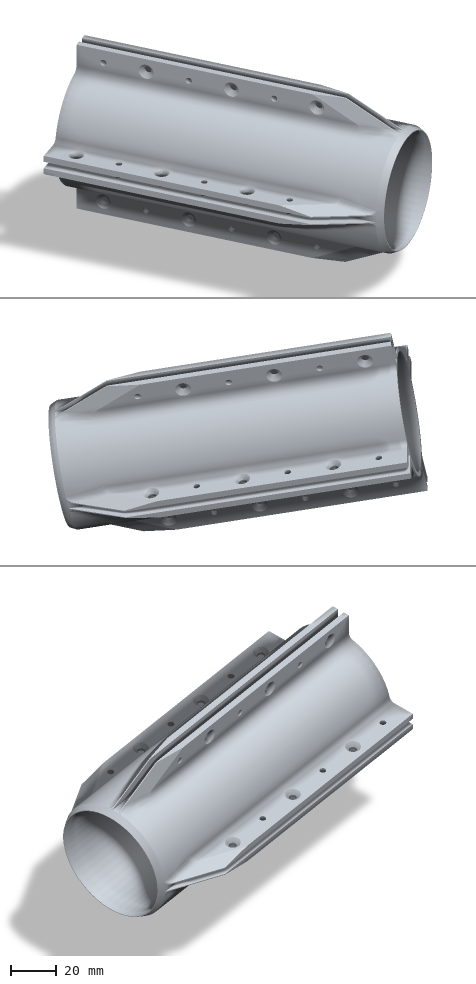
import cadquery as cq
import math

length = 155.8
bore_radius = 27.0
tube_radius = 28.8

flange_count = 4
flange_span = 82.7
flange_reach = flange_span / 2
gap = 3.3
fin_thickness = 3.0
root_fillet = 3.0
pair_half_width = gap / 2 + fin_thickness

bevel_length = 28.8
bevel_end_radius = 27.3
bevel_angle = math.atan2(flange_reach - bevel_end_radius, bevel_length)

thinning_length = 15.0
edge_thickness = 0.5

hole_count = 6
first_hole_x = 12.8
last_hole_x = 114.3
hole_pitch = (last_hole_x - first_hole_x) / (hole_count - 1)
hole_radial_position = 35.0
thread_diameter = 3.0
clearance_diameter = 3.5
countersink_diameter = 7.0
countersink_angle = 90

overrun = 4.7
blank_length = length + overrun

match_tolerance = 0.02


def around_tube(shape, index):
    """Turn a shape made for the +Z flange to the flange with the given index."""
    return shape.rotate((0, 0, 0), (1, 0, 0), index * 360 / flange_count)


def flange_blank():
    """Solid flange pointing to +Z, thinned on both sides towards the bevel line."""
    blank = cq.Workplane("XY").box(
        blank_length, 2 * pair_half_width, flange_reach, centered=(False, True, False)
    )
    section_plane = cq.Plane(
        origin=(length, 0, bevel_end_radius),
        xDir=(-math.sin(bevel_angle), 0, -math.cos(bevel_angle)),
        normal=(-math.cos(bevel_angle), 0, math.sin(bevel_angle)),
    )
    thinning_depth = thinning_length * math.sin(bevel_angle)
    edge_half_width = gap / 2 + edge_thickness
    slope = (pair_half_width - edge_half_width) / thinning_depth
    apex = -edge_half_width / slope
    envelope = (
        cq.Workplane(section_plane)
        .polyline([
            (apex, 0),
            (thinning_depth, pair_half_width),
            (blank_length, pair_half_width),
            (blank_length, -pair_half_width),
            (thinning_depth, -pair_half_width),
        ])
        .close()
        .extrude(blank_length * 2, both=True)
    )
    return blank.intersect(envelope)


def is_flange_root(edge):
    """True for an edge that runs lengthwise on the tube surface, where a flange meets it."""
    start = edge.startPoint()
    end = edge.endPoint()
    on_tube = all(
        math.isclose(math.hypot(point.y, point.z), tube_radius, abs_tol=match_tolerance)
        for point in (start, end)
    )
    lengthwise = abs(start.x - end.x) > match_tolerance
    beside_flange = min(abs(start.y), abs(start.z)) > match_tolerance
    return on_tube and lengthwise and beside_flange


def filleted_body():
    """Solid core with the flanges, filleted along their roots."""
    body = cq.Workplane("YZ").circle(tube_radius).extrude(blank_length)
    for index in range(flange_count):
        body = body.union(around_tube(flange_blank(), index))
    roots = [edge for edge in body.edges().vals() if is_flange_root(edge)]
    return body.newObject(roots).fillet(root_fillet)


def fin_gap():
    """Space between the two fins of a pair, down to the tube surface."""
    slot = cq.Workplane("XY").box(
        blank_length, gap, flange_reach, centered=(False, True, False)
    )
    core = cq.Workplane("YZ").circle(tube_radius).extrude(blank_length)
    return slot.cut(core)


def bevel_envelope():
    """Revolved outline that carries the bevel at the +X end."""
    clear_radius = flange_reach + pair_half_width
    clear_x = length - (clear_radius - bevel_end_radius) / math.tan(bevel_angle)
    return (
        cq.Workplane("XY")
        .polyline([
            (0, 0),
            (0, clear_radius),
            (clear_x, clear_radius),
            (length, bevel_end_radius),
            (length, 0),
        ])
        .close()
        .revolve(360, (0, 0, 0), (1, 0, 0))
    )


def screw_hole(x, head_side):
    """Screw hole through a +Z flange; head_side is the sign of Y of the head."""
    axis = cq.Vector(0, -head_side, 0)
    head = cq.Vector(x, head_side * pair_half_width, hole_radial_position)
    clearance_radius = clearance_diameter / 2
    head_radius = countersink_diameter / 2
    half_angle = math.radians(countersink_angle / 2)
    countersink_depth = (head_radius - clearance_radius) / math.tan(half_angle)
    thread = cq.Solid.makeCylinder(thread_diameter / 2, 2 * pair_half_width, head, axis)
    clearance = cq.Solid.makeCylinder(clearance_radius, pair_half_width, head, axis)
    countersink = cq.Solid.makeCone(head_radius, clearance_radius, countersink_depth, head, axis)
    return cq.Workplane(thread).union(cq.Workplane(clearance)).union(cq.Workplane(countersink))


result = filleted_body().intersect(bevel_envelope())
result = result.cut(cq.Workplane("YZ").circle(bore_radius).extrude(length))
for index in range(flange_count):
    result = result.cut(around_tube(fin_gap(), index))
    for hole in range(hole_count):
        head_side = 1 if hole % 2 == 0 else -1
        cutter = screw_hole(first_hole_x + hole * hole_pitch, head_side)
        result = result.cut(around_tube(cutter, index))